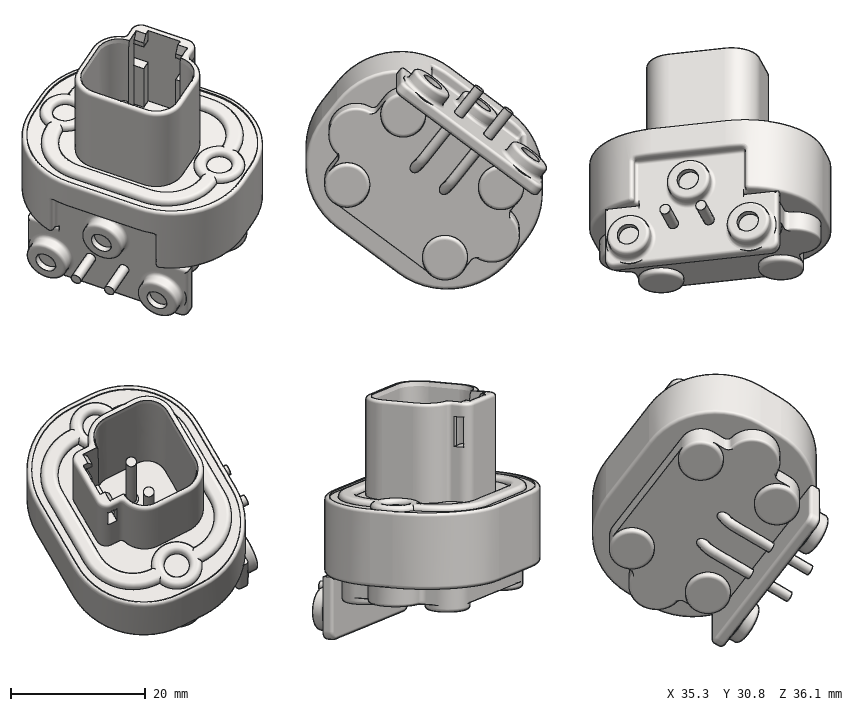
import cadquery as cq
import math

BODY_X = 35.3
BODY_Y = 27.45
BODY_TOP = 11.55
BODY_CORNER = 11.9
EDGE_ROUND = 0.5

RECESS_INSET = 0.72
RECESS_DEPTH = 0.25
RECESS_FLOOR = BODY_TOP - RECESS_DEPTH
RIDGE_TOP = BODY_TOP + 0.5
RIDGE_MID_X = 12.7
RIDGE_MID_Y = 10.57
RIDGE_MID_CORNER = 6.9
RIDGE_WIDTH = 2.6
RIDGE_ROUND = RIDGE_TOP - RECESS_FLOOR
RING_X = RIDGE_MID_X
RING_RADIUS = 3.8
RING_HOLE_RADIUS = 1.88

SHELL_TOP = 26.25
SHELL_X = 17.17
SHELL_BACK = 5.2
SHELL_FRONT = -8.48
SHELL_CORNER = 4.3
SHELL_MID_Y = (SHELL_BACK + SHELL_FRONT) / 2
TOWER_X = 10.28
TOWER_BACK = 8.55
TOWER_CORNER = 1.6
TOWER_BLEND = 0.7
RIM_WALL = 0.83
LEAD_IN_WIDTH = 0.2
LEAD_IN_DEPTH = 0.72
CAVITY_DRAFT = 0.5
CAVITY_FLOOR = 3.6
TOWER_CAVITY_X = 8.45
TOWER_CAVITY_BACK = 7.5
TOWER_FLOOR = BODY_TOP
LATCH_FRONT = 6.0
LATCH_WIDTH = 1.6
LATCH_SLOPE_WIDTH = 0.72
LATCH_SLOPE_DEPTH = 1.25
WINDOW_BOTTOM = 19.62
WINDOW_TOP = 24.15

PAD_BOTTOM = -3.05
POST_BOTTOM = -4.1
POST_X = 9.15
POST_Y = 6.8
POST_RADIUS = 3.35
SCREW_RADIUS = 4.1
SCREW_BLEND = 0.83
SCREW_ROUND = 0.4

PLATE_X = 26.48
PLATE_BOTTOM = -9.8
PLATE_TOP = -0.1
PLATE_BACK = -10.1
PLATE_FRONT = -11.95
PLATE_CORNER = 1.37
POCKET_X = 16.95
POCKET_TOP = 6.95
STUD_RADIUS = 3.25
STUD_FRONT = -14.03
STUD_FLARE = 0.58
STUD_HOLE_RADIUS = 1.62
STUD_HOLE_DEPTH = 1.0
STUD_CENTRES = [(0, 2.2), (-9.15, -5.85), (9.15, -5.85)]

PIN_X = 2.75
PIN_Y = -0.65
PIN_Z = -3.9
PIN_RADIUS = 0.8
PIN_BEND = 3.05
PIN_TOP = 18.05
PIN_END = BODY_Y / 2 - 30.75
PIN_COLLAR = 0.3


def rounded_block(size_x, size_y, corner, bottom, top, mid_y=0):
    """Upright block with rounded vertical edges."""
    block = cq.Workplane("XY", origin=(0, mid_y, bottom)).rect(size_x, size_y).extrude(top - bottom)
    return block.edges("|Z").fillet(corner)


def box(x_range, y_range, z_range):
    """Axis-aligned box between the given limits."""
    sizes = [high - low for low, high in (x_range, y_range, z_range)]
    corner = (x_range[0], y_range[0], z_range[0])
    return cq.Workplane("XY", origin=corner).box(*sizes, centered=False)


def cylinder(x, y, radius, bottom, top):
    """Upright cylinder."""
    return cq.Workplane("XY", origin=(x, y, bottom)).circle(radius).extrude(top - bottom)


def make_body():
    body = rounded_block(BODY_X, BODY_Y, BODY_CORNER, 0, BODY_TOP)
    body = body.faces("<Z or >Z").edges().fillet(EDGE_ROUND)
    recess = rounded_block(
        BODY_X - 2 * RECESS_INSET, BODY_Y - 2 * RECESS_INSET, BODY_CORNER - RECESS_INSET,
        RECESS_FLOOR, BODY_TOP,
    )
    return body.cut(recess)


def ridge_block(offset):
    """Block bounded by the ridge centre line moved outward by the offset."""
    return rounded_block(
        2 * (RIDGE_MID_X + offset), 2 * (RIDGE_MID_Y + offset), RIDGE_MID_CORNER + offset,
        RECESS_FLOOR, RIDGE_TOP,
    )


def add_ridge_and_rings(body):
    half_width = RIDGE_WIDTH / 2
    ridge = ridge_block(half_width).cut(ridge_block(-half_width))
    ridge = ridge.faces(">Z").edges().fillet(RIDGE_ROUND * 0.99)
    for side in (-1, 1):
        ring = cylinder(side * RING_X, 0, RING_RADIUS, RECESS_FLOOR, RIDGE_TOP)
        ring = ring.faces(">Z").edges().fillet(RIDGE_ROUND * 0.99)
        ridge = ridge.union(ring)
    body = body.union(ridge)
    for side in (-1, 1):
        body = body.cut(cylinder(side * RING_X, 0, RING_HOLE_RADIUS, RECESS_FLOOR, RIDGE_TOP))
        mouth = cq.selectors.BoxSelector(
            (side * RING_X - 2.15, -2.15, RIDGE_TOP - 0.05), (side * RING_X + 2.15, 2.15, RIDGE_TOP + 0.05)
        )
        body = body.edges(mouth).fillet(RIDGE_ROUND * 0.99)
    return body


def make_shell():
    shell = rounded_block(
        SHELL_X, SHELL_BACK - SHELL_FRONT, SHELL_CORNER, BODY_TOP - 0.35, SHELL_TOP, SHELL_MID_Y
    )
    tower_size_y = TOWER_BACK - SHELL_MID_Y
    tower = cq.Workplane("XY", origin=(0, SHELL_MID_Y + tower_size_y / 2, BODY_TOP - 0.35))
    tower = tower.rect(TOWER_X, tower_size_y).extrude(SHELL_TOP - BODY_TOP + 0.35)
    tower = tower.edges("|Z and >Y").fillet(TOWER_CORNER)
    shell = shell.union(tower)
    inner_corners = cq.selectors.BoxSelector(
        (-TOWER_X, SHELL_BACK - 0.72, BODY_TOP), (TOWER_X, SHELL_BACK + 0.18, SHELL_TOP)
    )
    shell = shell.edges("|Z").edges(inner_corners).fillet(TOWER_BLEND)
    return shell.faces(">Z").edges().fillet(EDGE_ROUND)


def tapered_cavity(wall, top, depth, draft):
    """Space with the given wall around it at its top, narrowing downward by the draft angle."""
    outline = (
        cq.Sketch()
        .rect(SHELL_X - 2 * wall, SHELL_BACK - SHELL_FRONT - 2 * wall)
        .vertices()
        .fillet(SHELL_CORNER - wall)
    )
    plane = cq.Workplane("XY", origin=(0, SHELL_MID_Y, top))
    return plane.placeSketch(outline).extrude(-depth, taper=draft)


def make_cavity():
    """Space inside the shell: the plug cavity, its lead-in and the latch space in the tower."""
    lead_in_draft = math.degrees(math.atan(LEAD_IN_WIDTH / LEAD_IN_DEPTH))
    lead_in = tapered_cavity(RIM_WALL, SHELL_TOP, LEAD_IN_DEPTH, lead_in_draft)
    cavity_top = SHELL_TOP - LEAD_IN_DEPTH
    cavity = tapered_cavity(RIM_WALL + LEAD_IN_WIDTH, cavity_top, cavity_top - CAVITY_FLOOR, CAVITY_DRAFT)
    tower = box(
        (-TOWER_CAVITY_X / 2, TOWER_CAVITY_X / 2),
        (SHELL_MID_Y, TOWER_CAVITY_BACK),
        (TOWER_FLOOR, SHELL_TOP),
    )
    for side in (-1, 1):
        tower = tower.cut(make_latch(side))
    return cavity.union(lead_in).union(tower)


def make_latch(side):
    """Corner block in the tower, with a sloped top front edge."""
    outer = TOWER_CAVITY_X / 2
    inner = outer - LATCH_WIDTH
    profile = [
        (LATCH_FRONT, TOWER_FLOOR),
        (TOWER_CAVITY_BACK, TOWER_FLOOR),
        (TOWER_CAVITY_BACK, SHELL_TOP),
        (LATCH_FRONT + LATCH_SLOPE_WIDTH, SHELL_TOP),
        (LATCH_FRONT, SHELL_TOP - LATCH_SLOPE_DEPTH),
    ]
    start = inner if side > 0 else -outer
    return cq.Workplane("YZ", origin=(start, 0, 0)).polyline(profile).close().extrude(LATCH_WIDTH)


def make_underside():
    pad = rounded_block(
        2 * (POST_X + POST_RADIUS), 2 * (POST_Y + POST_RADIUS), POST_RADIUS, PAD_BOTTOM, 0.35
    )
    for side in (-1, 1):
        boss = cylinder(side * RING_X, 0, SCREW_RADIUS, PAD_BOTTOM, 0.35)
        pad = pad.union(boss.faces("<Z").edges().fillet(SCREW_ROUND))
    near_bosses = cq.selectors.BoxSelector((-21.65, -4.7, PAD_BOTTOM), (21.65, 4.7, 0.35))
    pad = pad.edges("|Z").edges(near_bosses).fillet(SCREW_BLEND)
    for side_x in (-1, 1):
        for side_y in (-1, 1):
            post = cylinder(side_x * POST_X, side_y * POST_Y, POST_RADIUS, POST_BOTTOM, PAD_BOTTOM + 0.35)
            pad = pad.union(post.faces("<Z").edges().fillet(EDGE_ROUND))
    return pad


def cut_pocket(body):
    half_x = POCKET_X / 2
    pocket = box((-half_x, half_x), (-BODY_Y, PLATE_FRONT), (-1.8, POCKET_TOP))
    pocket = pocket.edges("|Y and >Z").fillet(EDGE_ROUND)
    pocket = pocket.faces(">Y").edges("not <Z").fillet(EDGE_ROUND * 0.95)
    body = body.cut(pocket)
    rim = cq.selectors.BoxSelector((-8.65, -14.05, 0.05), (8.65, -13.15, POCKET_TOP + 0.05))
    return body.edges(rim).fillet(EDGE_ROUND)


def make_plate():
    half_x = PLATE_X / 2
    plate = box((-half_x, half_x), (PLATE_FRONT, PLATE_BACK), (PLATE_BOTTOM, PLATE_TOP))
    plate = plate.edges("|Y and <Z").fillet(PLATE_CORNER)
    plate = plate.faces("<Y or >Y").edges().fillet(EDGE_ROUND)
    stem = box((-POCKET_X / 2 + EDGE_ROUND, POCKET_X / 2 - EDGE_ROUND), (PLATE_FRONT, PLATE_BACK), (-1.45, 1.1))
    return plate.union(stem)


def make_stud(x, z):
    """Round stud on the plate, flared at its foot and rounded at its tip, with a blind hole."""
    foot = PLATE_FRONT - STUD_FLARE
    flare_mid = STUD_RADIUS + STUD_FLARE * (1 - math.sqrt(0.5))
    tip_mid = EDGE_ROUND * (1 - math.sqrt(0.5))
    hole_floor = STUD_FRONT + STUD_HOLE_DEPTH
    profile = (
        cq.Workplane("XY")
        .moveTo(0, PLATE_FRONT + EDGE_ROUND)
        .lineTo(STUD_RADIUS + STUD_FLARE, PLATE_FRONT + EDGE_ROUND)
        .lineTo(STUD_RADIUS + STUD_FLARE, PLATE_FRONT)
        .threePointArc((flare_mid, PLATE_FRONT - flare_mid + STUD_RADIUS), (STUD_RADIUS, foot))
        .lineTo(STUD_RADIUS, STUD_FRONT + EDGE_ROUND)
        .threePointArc((STUD_RADIUS - tip_mid, STUD_FRONT + tip_mid), (STUD_RADIUS - EDGE_ROUND, STUD_FRONT))
        .lineTo(STUD_HOLE_RADIUS, STUD_FRONT)
        .lineTo(STUD_HOLE_RADIUS, hole_floor)
        .lineTo(0, hole_floor)
        .close()
    )
    return profile.revolve(360, (0, 0, 0), (0, 1, 0)).translate((x, 0, z))


def make_pin(x):
    """Contact pin that stands in the cavity, bends under the pad and leaves through the plate."""
    mid = PIN_BEND * (1 - math.sqrt(0.5))
    path = (
        cq.Workplane("YZ", origin=(x, 0, 0))
        .moveTo(PIN_Y, PIN_TOP)
        .lineTo(PIN_Y, PIN_Z + PIN_BEND)
        .threePointArc((PIN_Y - mid, PIN_Z + mid), (PIN_Y - PIN_BEND, PIN_Z))
        .lineTo(PIN_END, PIN_Z)
    )
    pin = cq.Workplane("XY", origin=(x, PIN_Y, PIN_TOP)).circle(PIN_RADIUS).sweep(path)
    collar = cylinder(x, PIN_Y, PIN_RADIUS + PIN_COLLAR, CAVITY_FLOOR - 0.35, CAVITY_FLOOR + PIN_COLLAR)
    collar = collar.faces(">Z").edges().chamfer(PIN_COLLAR * 0.95)
    return pin.union(collar)


result = add_ridge_and_rings(make_body())
result = result.union(make_shell())
result = result.cut(make_cavity())
ledge = cq.selectors.BoxSelector((-0.35, 3.25, TOWER_FLOOR - 0.05), (0.35, 5.05, TOWER_FLOOR + 0.05))
result = result.edges(ledge).fillet(EDGE_ROUND)
window = box(
    (-TOWER_X / 2, TOWER_X / 2), (LATCH_FRONT, TOWER_CAVITY_BACK), (WINDOW_BOTTOM, WINDOW_TOP)
)
result = result.cut(window)
result = cut_pocket(result)
result = result.union(make_underside())
result = result.union(make_plate())
for stud_x, stud_z in STUD_CENTRES:
    result = result.union(make_stud(stud_x, stud_z))
for side in (-1, 1):
    result = result.union(make_pin(side * PIN_X))